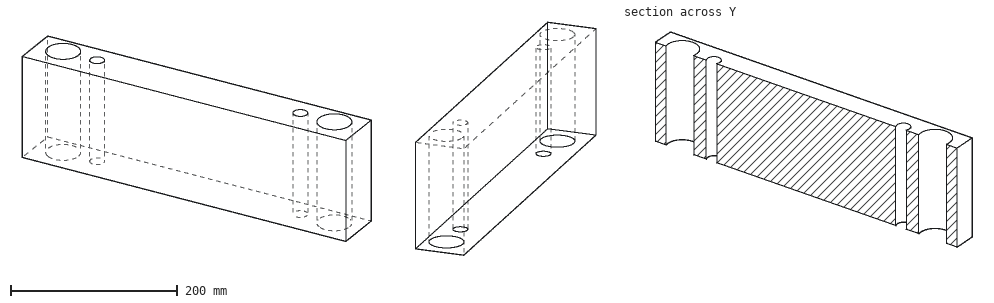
import cadquery as cq

length = 446.0
width = 62.0
height = 136.0

hole_line_offset = 5.0
large_diameter = 42.0
large_spacing = 373.7
small_diameter = 18.0
small_spacing = 280.0


def drill_pair(body, diameter, spacing):
    """Drill two through holes placed symmetrically about the block's middle."""
    centers = [(side * spacing / 2, hole_line_offset) for side in (-1, 1)]
    return body.faces(">Z").workplane(origin=(0, 0, height)).pushPoints(centers).hole(diameter)


block = cq.Workplane("XY").box(length, width, height, centered=(True, True, False))
block = drill_pair(block, large_diameter, large_spacing)
result = drill_pair(block, small_diameter, small_spacing)